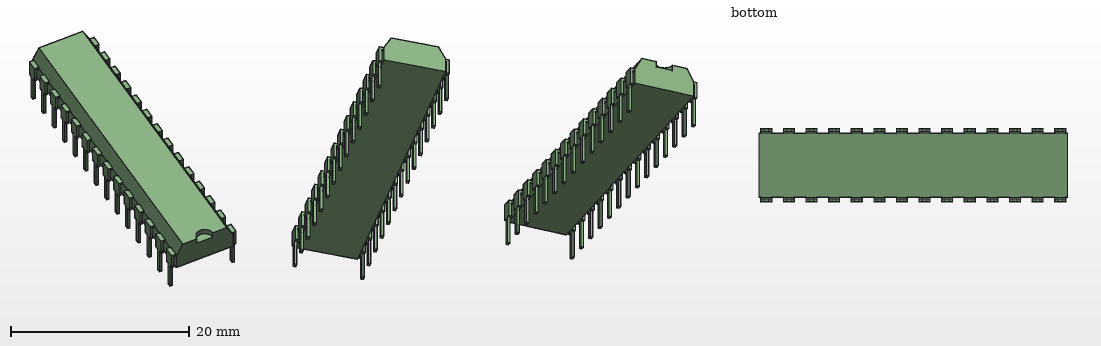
import cadquery as cq

body_length = 34.67
overall_width = 8.2
overall_height = 6.7

body_width = 7.2
body_height = 3.4
top_width = 5.55
side_wall_height = 1.87

notch_radius = 1.0
notch_depth = 0.7

leads_per_side = 14
end_lead_inset = 0.83
lead_pitch = (body_length - 2 * end_lead_inset) / (leads_per_side - 1)
lead_thickness = 0.3
lead_embed = 0.35
shoulder_width = 1.25
shoulder_height = 1.98
pin_width = 0.5

body_bottom = overall_height - body_height
body_top = overall_height
lead_top = body_bottom + shoulder_height


def make_body():
    """Prism along X with a six-sided cross-section, centred on the origin in X and Y."""
    wall_top = body_bottom + side_wall_height
    section = [
        (-body_width / 2, body_bottom),
        (body_width / 2, body_bottom),
        (body_width / 2, wall_top),
        (top_width / 2, body_top),
        (-top_width / 2, body_top),
        (-body_width / 2, wall_top),
    ]
    return cq.Workplane("YZ").polyline(section).close().extrude(body_length / 2, both=True)


def make_notch():
    """Cylinder centred on the +X end face; only its inner half meets the body."""
    return (
        cq.Workplane("XY", origin=(body_length / 2, 0, body_top))
        .circle(notch_radius)
        .extrude(-notch_depth)
    )


def make_lead():
    """L-shaped lead on the +Y side at X = 0, with its horizontal arm running into the body."""
    outer_y = overall_width / 2
    inner_y = outer_y - lead_thickness
    arm_end_y = body_width / 2 - lead_embed
    arm_bottom = lead_top - lead_thickness
    arm = cq.Workplane("XY", origin=(0, arm_end_y, arm_bottom)).box(
        shoulder_width, outer_y - arm_end_y, lead_thickness, centered=(True, False, False)
    )
    shoulder = cq.Workplane("XY", origin=(0, inner_y, body_bottom)).box(
        shoulder_width, lead_thickness, shoulder_height, centered=(True, False, False)
    )
    pin = cq.Workplane("XY", origin=(0, inner_y, 0)).box(
        pin_width, lead_thickness, body_bottom, centered=(True, False, False)
    )
    return arm.union(shoulder).union(pin)


result = make_body().cut(make_notch())

lead = make_lead()
opposite_lead = lead.mirror("XZ")
first_lead_x = -lead_pitch * (leads_per_side - 1) / 2
for index in range(leads_per_side):
    offset = (first_lead_x + index * lead_pitch, 0, 0)
    result = result.union(lead.translate(offset)).union(opposite_lead.translate(offset))